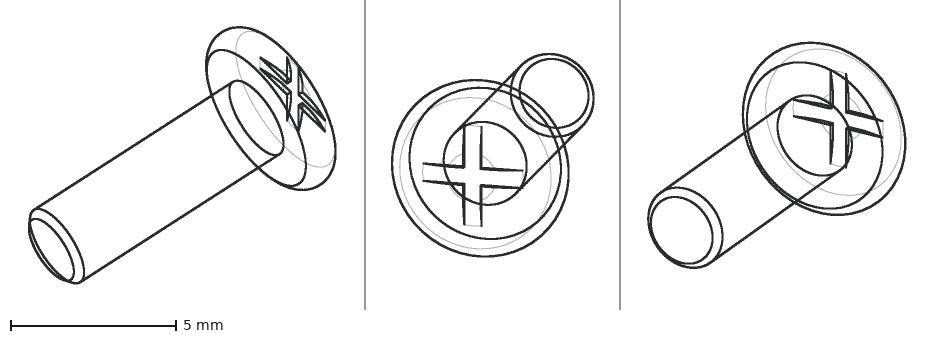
import cadquery as cq

total_length = 9.57
head_diameter = 5.5
head_height = 1.57
shank_diameter = 2.6
tip_chamfer = 0.22

bearing_radius = 2.37
rim_height = 1.13
dome_mid_radius = 1.54
dome_mid_height = 1.43
crown_radius = 0.77

slot_width = 0.55
slot_depth = 0.15

shank_length = total_length - head_height
head_radius = head_diameter / 2
shank_radius = shank_diameter / 2


def make_head():
    """Revolve the head about Y, with its bearing face at Y = 0."""
    return (
        cq.Workplane("XY")
        .lineTo(bearing_radius, 0)
        .threePointArc((head_radius, rim_height / 2), (bearing_radius, rim_height))
        .threePointArc((dome_mid_radius, dome_mid_height), (crown_radius, head_height))
        .lineTo(0, head_height)
        .close()
        .revolve(360, (0, 0, 0), (0, 1, 0))
    )


def make_shank():
    """Cylinder running towards -Y, chamfered at its free end."""
    return (
        cq.Workplane("XZ")
        .circle(shank_radius)
        .extrude(shank_length)
        .faces("<Y")
        .chamfer(tip_chamfer)
    )


def make_cross_slots():
    """Two perpendicular bars reaching down from the crown."""
    slot_middle = head_height - slot_depth / 2
    bar_along_x = cq.Workplane("XY").box(head_diameter, slot_depth, slot_width)
    bar_along_z = cq.Workplane("XY").box(slot_width, slot_depth, head_diameter)
    return bar_along_x.union(bar_along_z).translate((0, slot_middle, 0))


result = make_head().union(make_shank()).cut(make_cross_slots())